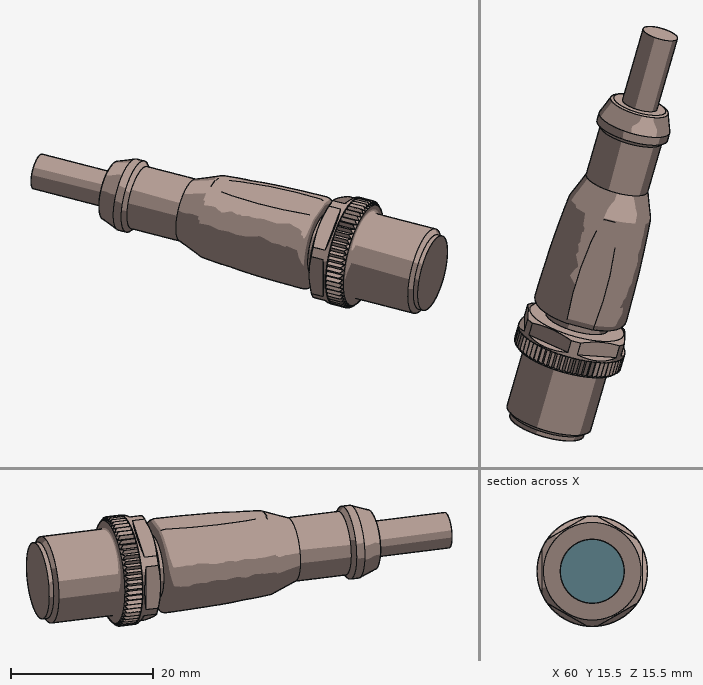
import cadquery as cq
import math

LENGTH = 60.0

CABLE_RADIUS = 2.5

COLLAR_START = 10.85
COLLAR_FACE_RADIUS = 3.8
COLLAR_EDGE_RADIUS = 4.2
COLLAR_EDGE_LENGTH = 0.2
COLLAR_CONE_END = 13.6
COLLAR_RADIUS = 5.15
COLLAR_BAND_END = 14.8
COLLAR_BACK_LENGTH = 0.6
SLEEVE_RADIUS = 4.5
FLARE_START = 22.85

GRIP_START = 26.65
GRIP_START_RADIUS = 5.95
GRIP_RADIUS = 6.65
GRIP_FLAT_START_HEIGHT = 5.9
GRIP_FLAT_END_HEIGHT = 6.35
GRIP_END = 42.9
GRIP_START_FILLET = 1.2
GRIP_END_FILLET = 0.9

NECK_RADIUS = 4.5

NUT_START = 44.1
NUT_RADIUS = 7.75
NUT_FACE_RADIUS = 6.85
NUT_FACE_CHAMFER_LENGTH = 0.4
HEX_SIDES = 6
HEX_FLAT_DISTANCE = 7.0
HEX_FLAT_END = 46.3
HEX_RUNOUT_ANGLE = 60
KNURL_START = 47.0
NUT_END = 49.5
NUT_END_CHAMFER = 0.5
KNURL_TEETH = 60
KNURL_DEPTH = 0.4

NOSE_RADIUS = 6.1
NOSE_ROOT_FILLET = 0.5
NOSE_END = 58.8
NOSE_CHAMFER_LENGTH = 0.55
TIP_RADIUS = 5.4

CUT_CLEARANCE = 0.6

SELECT_REACH = 0.05


def revolve_about_x(profile):
    """Close an outline drawn in X and radius, and spin it about the X axis."""
    return profile.close().revolve(360, (0, 0, 0), (1, 0, 0))


def grip_end_rounding(height):
    """Start a side line with the rounded far end of the grip."""
    fillet_start = GRIP_END - GRIP_END_FILLET
    fillet_base = height - GRIP_END_FILLET
    fillet_reach = GRIP_END_FILLET * math.sqrt(0.5)
    return (
        cq.Workplane("XZ")
        .moveTo(GRIP_END, fillet_base)
        .threePointArc((fillet_start + fillet_reach, fillet_base + fillet_reach), (fillet_start, height))
    )


def cable():
    return cq.Workplane("YZ").circle(CABLE_RADIUS).extrude(NUT_START)


def strain_relief_and_grip():
    relief = revolve_about_x(
        cq.Workplane("XZ")
        .moveTo(COLLAR_START, 0)
        .lineTo(COLLAR_START, COLLAR_FACE_RADIUS)
        .lineTo(COLLAR_START + COLLAR_EDGE_LENGTH, COLLAR_EDGE_RADIUS)
        .lineTo(COLLAR_CONE_END, COLLAR_RADIUS)
        .lineTo(COLLAR_BAND_END, COLLAR_RADIUS)
        .lineTo(COLLAR_BAND_END + COLLAR_BACK_LENGTH, SLEEVE_RADIUS)
        .lineTo(FLARE_START, SLEEVE_RADIUS)
        .lineTo(GRIP_START, GRIP_START_RADIUS)
        .lineTo(GRIP_START, 0)
    )
    barrel = revolve_about_x(
        grip_end_rounding(GRIP_RADIUS)
        .tangentArcPoint((GRIP_START, GRIP_START_RADIUS), relative=False)
        .lineTo(GRIP_START, 0)
        .lineTo(GRIP_END, 0)
    )
    body = relief.union(barrel)
    shoulder_edge = cq.selectors.BoxSelector(
        (GRIP_START - SELECT_REACH, -SELECT_REACH, -SELECT_REACH),
        (GRIP_START + SELECT_REACH, SELECT_REACH, SELECT_REACH),
    )
    return body.edges(shoulder_edge).fillet(GRIP_START_FILLET)


def cut_grip_flats(body):
    """Plane a gently rising flat on the top of the grip and its mirror image below."""
    clear_height = GRIP_RADIUS + CUT_CLEARANCE
    cutter = (
        grip_end_rounding(GRIP_FLAT_END_HEIGHT)
        .lineTo(GRIP_START, GRIP_FLAT_START_HEIGHT)
        .lineTo(GRIP_START, clear_height)
        .lineTo(GRIP_END, clear_height)
        .close()
        .extrude(GRIP_RADIUS, both=True)
    )
    return body.cut(cutter).cut(cutter.mirror("XY"))


def neck():
    return cq.Workplane("YZ").workplane(offset=GRIP_END).circle(NECK_RADIUS).extrude(NUT_START - GRIP_END)


def nut_and_nose():
    fillet_centre_x = NUT_END + NOSE_ROOT_FILLET
    fillet_centre_radius = NOSE_RADIUS + NOSE_ROOT_FILLET
    fillet_reach = NOSE_ROOT_FILLET * math.sqrt(0.5)
    return revolve_about_x(
        cq.Workplane("XZ")
        .moveTo(NUT_START, 0)
        .lineTo(NUT_START, NUT_FACE_RADIUS)
        .lineTo(NUT_START + NUT_FACE_CHAMFER_LENGTH, NUT_RADIUS)
        .lineTo(NUT_END - NUT_END_CHAMFER, NUT_RADIUS)
        .lineTo(NUT_END, NUT_RADIUS - NUT_END_CHAMFER)
        .lineTo(NUT_END, fillet_centre_radius)
        .threePointArc(
            (fillet_centre_x - fillet_reach, fillet_centre_radius - fillet_reach),
            (fillet_centre_x, NOSE_RADIUS),
        )
        .lineTo(NOSE_END, NOSE_RADIUS)
        .lineTo(NOSE_END + NOSE_CHAMFER_LENGTH, TIP_RADIUS)
        .lineTo(LENGTH, TIP_RADIUS)
        .lineTo(LENGTH, 0)
    )


def cut_hex_flats(body):
    """Mill the hexagon flats; each one runs out up a steep straight slope."""
    clear_radius = NUT_RADIUS + CUT_CLEARANCE
    flat_depth = clear_radius - HEX_FLAT_DISTANCE
    runout = flat_depth / math.tan(math.radians(HEX_RUNOUT_ANGLE))
    cutter = (
        cq.Workplane("XY")
        .moveTo(NUT_START, HEX_FLAT_DISTANCE)
        .lineTo(HEX_FLAT_END, HEX_FLAT_DISTANCE)
        .lineTo(HEX_FLAT_END + runout, clear_radius)
        .lineTo(NUT_START, clear_radius)
        .close()
        .extrude(NUT_RADIUS, both=True)
    )
    for side in range(HEX_SIDES):
        body = body.cut(cutter.rotate((0, 0, 0), (1, 0, 0), side * 360 / HEX_SIDES))
    return body


def knurl_cutter():
    """Ring whose toothed bore leaves sharp V ridges on the nut."""
    points = []
    for step in range(2 * KNURL_TEETH):
        radius = NUT_RADIUS if step % 2 else NUT_RADIUS - KNURL_DEPTH
        angle = math.pi * step / KNURL_TEETH
        points.append((radius * math.cos(angle), radius * math.sin(angle)))
    width = NUT_END - KNURL_START
    plane = cq.Workplane("YZ").workplane(offset=KNURL_START)
    ridges = plane.polyline(points).close().extrude(width)
    return plane.circle(NUT_RADIUS + CUT_CLEARANCE).extrude(width).cut(ridges)


plug = cut_hex_flats(nut_and_nose()).cut(knurl_cutter())
result = cable().union(cut_grip_flats(strain_relief_and_grip())).union(neck()).union(plug)